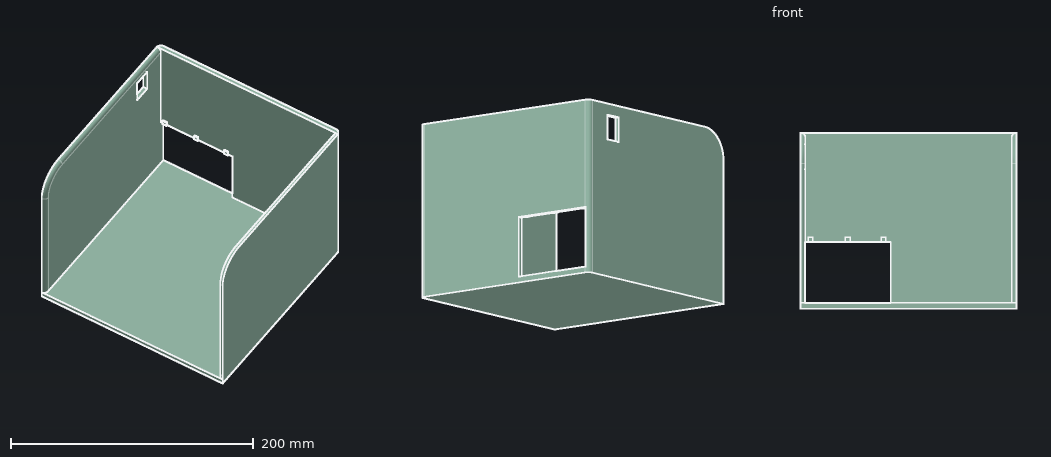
import cadquery as cq

width = 178.0
depth = 178.0
height = 145.0

side_wall = 4.0
back_wall = 4.0
floor = 5.0

front_corner_radius = 25.0
back_corner_radius = 4.5
outer_lip = 0.2
rim_radius = side_wall - outer_lip

opening_width = 70.3
opening_height = 50.0

tab_size = 4.0
tab_projection = 1.0
tab_offsets = (2.3, 33.1, 62.5)

window_length = 15.0
window_height = 20.6
window_from_back = 24.5
window_from_top = 9.5

inner_left = side_wall
inner_back = depth - back_wall
opening_top = floor + opening_height


def block(x, y, z, size_x, size_y, size_z):
    """Box placed by its left, front, bottom corner."""
    return cq.Workplane("XY").box(size_x, size_y, size_z, centered=False).translate((x, y, z))


def side_panel():
    """Left side wall with a rounded upper front corner and a rounded inner rim."""
    panel = block(0, 0, floor, side_wall, inner_back, height - floor)
    panel = panel.edges("|X and <Y and >Z").fillet(front_corner_radius)
    return panel.edges("|Z and <Y and >X").fillet(rim_radius)


def base_and_back():
    """Floor and back wall, full width."""
    floor_panel = block(0, 0, 0, width, depth, floor)
    back_panel = block(0, inner_back, 0, width, back_wall, height)
    return floor_panel.union(back_panel)


left_panel = side_panel()
right_panel = left_panel.mirror("YZ").translate((width, 0, 0))
body = base_and_back().union(left_panel).union(right_panel)
body = body.edges("|Z and >Y").fillet(back_corner_radius)

body = body.cut(block(inner_left, inner_back, floor, opening_width, back_wall, opening_height))

window_y = depth - window_from_back - window_length
window_z = height - window_from_top - window_height
body = body.cut(block(0, window_y, window_z, side_wall, window_length, window_height))

for offset in tab_offsets:
    tab_x = inner_left + offset
    tab_y = inner_back - tab_projection
    tab = block(tab_x, tab_y, opening_top, tab_size, tab_projection, tab_size)
    body = body.union(tab)

result = body